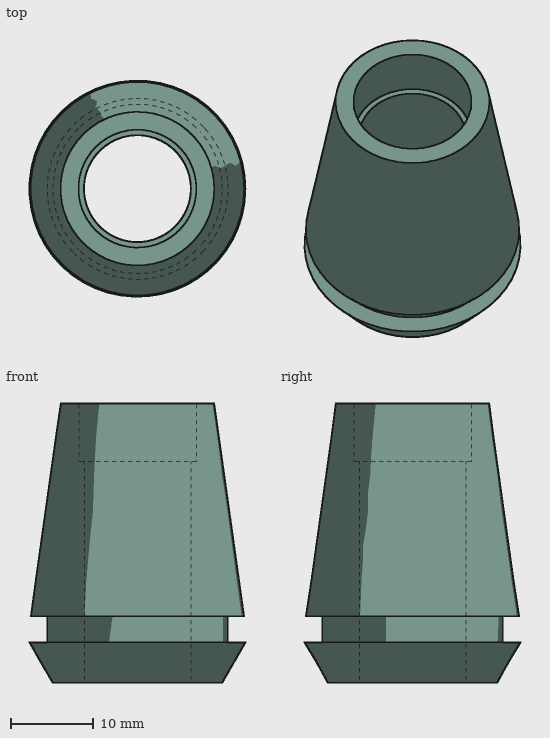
import cadquery as cq
import math

height = 34.0
groove_bottom = 4.93
groove_top = 8.1

top_radius = 9.35
groove_radius = 11.0
collar_radius = 13.15
body_taper = 8.0
collar_taper = 30.0

bore_radius = 6.5
counterbore_radius = 7.17
counterbore_depth = 7.0

body_radius = top_radius + (height - groove_top) * math.tan(math.radians(body_taper))
base_radius = collar_radius - groove_bottom * math.tan(math.radians(collar_taper))
step_height = height - counterbore_depth

half_section = [
    (bore_radius, 0),
    (base_radius, 0),
    (collar_radius, groove_bottom),
    (groove_radius, groove_bottom),
    (groove_radius, groove_top),
    (body_radius, groove_top),
    (top_radius, height),
    (counterbore_radius, height),
    (counterbore_radius, step_height),
    (bore_radius, step_height),
]

result = cq.Workplane("XZ").polyline(half_section).close().revolve(360, (0, 0), (0, 1))